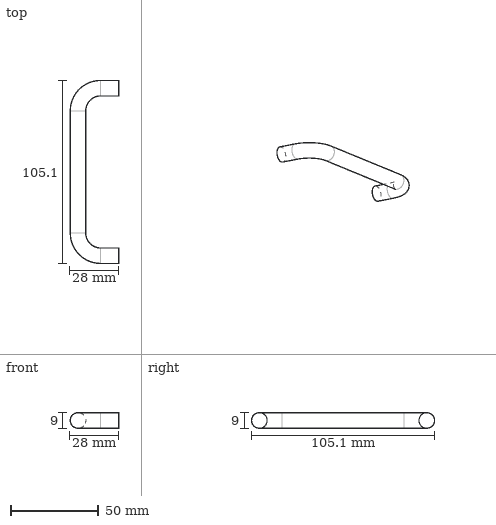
import cadquery as cq
import math

bar_diameter = 9.0
overall_depth = 28.0
overall_length = 105.08
bend_radius = 13.0

bar_radius = bar_diameter / 2
leg_y = overall_length / 2 - bar_radius
leg_end_x = overall_depth - bar_radius
grip_half_length = leg_y - bend_radius

bend_inset = bend_radius * (1 - math.sqrt(0.5))


def make_centreline():
    """Path along one leg, round a bend, along the grip and back out."""
    return (
        cq.Workplane("XY")
        .moveTo(leg_end_x, -leg_y)
        .lineTo(bend_radius, -leg_y)
        .threePointArc((bend_inset, -leg_y + bend_inset), (0, -grip_half_length))
        .lineTo(0, grip_half_length)
        .threePointArc((bend_inset, leg_y - bend_inset), (bend_radius, leg_y))
        .lineTo(leg_end_x, leg_y)
    )


def make_handle():
    """Round bar section swept along the centreline."""
    section_plane = cq.Plane(origin=(leg_end_x, -leg_y, 0), xDir=(0, 0, 1), normal=(-1, 0, 0))
    return cq.Workplane(section_plane).circle(bar_radius).sweep(make_centreline())


result = make_handle()